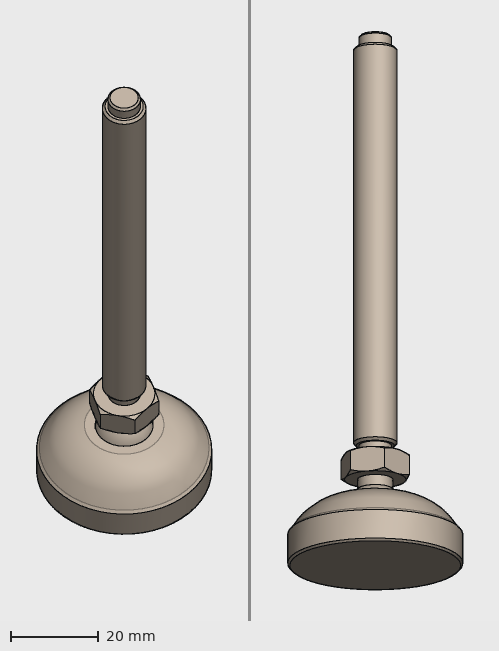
import cadquery as cq
import math

total_height = 126.2

foot_radius = 40.0 / 2
foot_bottom_chamfer = 0.5
rim_top_z = 7.3
rim_chamfer = 0.6
foot_top_z = 15.6
foot_top_radius = 9.1
dome_mid_radius = 15.4
dome_mid_z = 12.6

ball_radius = 14.0 / 2
socket_radius = 13.3 / 2
shank_radius = 8.1 / 2
shank_start_z = 18.0
ball_center_z = shank_start_z - math.sqrt(ball_radius**2 - shank_radius**2)
seat_z = ball_center_z + math.sqrt(ball_radius**2 - socket_radius**2)

hex_bottom_z = 20.5
hex_height = 5.8
hex_across_flats = 14.0
hex_top_z = hex_bottom_z + hex_height
hex_corner_radius = hex_across_flats / math.sqrt(3)
hex_chamfer_angle = 30.0
hex_turn_angle = 30.0

neck_radius = 7.5 / 2
rod_radius = 10.0 / 2
rod_chamfer = 0.6
rod_bottom_z = 28.5
rod_top_z = 123.3
tip_chamfer = 0.5


def cylinder(radius, bottom_z, top_z):
    return cq.Workplane("XY").workplane(offset=bottom_z).circle(radius).extrude(top_z - bottom_z)


def make_foot():
    """Domed foot, with a round socket that narrows onto the ball."""
    dome_bottom = (foot_radius - rim_chamfer, rim_top_z + rim_chamfer)
    profile = (
        cq.Workplane("XZ")
        .lineTo(foot_radius - foot_bottom_chamfer, 0)
        .lineTo(foot_radius, foot_bottom_chamfer)
        .lineTo(foot_radius, rim_top_z)
        .lineTo(*dome_bottom)
        .threePointArc((dome_mid_radius, dome_mid_z), (foot_top_radius, foot_top_z))
        .lineTo(0, foot_top_z)
        .close()
    )
    foot = profile.revolve(360, (0, 0, 0), (0, 1, 0))
    return foot.cut(cylinder(socket_radius, seat_z, foot_top_z))


def make_ball():
    return cq.Workplane("XY").sphere(ball_radius).translate((0, 0, ball_center_z))


def make_hexagon():
    """Hexagon with flats facing +X and -X, and its corners turned off at both ends."""
    flat_radius = hex_across_flats / 2
    bevel_height = (hex_corner_radius - flat_radius) * math.tan(math.radians(hex_chamfer_angle))
    hexagon = (
        cq.Workplane("XY")
        .workplane(offset=hex_bottom_z)
        .polygon(6, 2 * hex_corner_radius)
        .extrude(hex_height)
        .rotate((0, 0, 0), (0, 0, 1), hex_turn_angle)
    )
    turned_blank = (
        cq.Workplane("XZ")
        .moveTo(0, hex_bottom_z)
        .lineTo(flat_radius, hex_bottom_z)
        .lineTo(hex_corner_radius, hex_bottom_z + bevel_height)
        .lineTo(hex_corner_radius, hex_top_z - bevel_height)
        .lineTo(flat_radius, hex_top_z)
        .lineTo(0, hex_top_z)
        .close()
        .revolve(360, (0, 0, 0), (0, 1, 0))
    )
    return hexagon.intersect(turned_blank)


def make_stem():
    """Shank, hexagon, neck, rod at the full thread diameter and reduced tip."""
    shank = cylinder(shank_radius, ball_center_z, hex_bottom_z)
    neck = cylinder(neck_radius, hex_top_z, rod_bottom_z)
    rod = cylinder(rod_radius, rod_bottom_z, rod_top_z).edges().chamfer(rod_chamfer)
    tip = cylinder(neck_radius, rod_top_z, total_height).faces(">Z").edges().chamfer(tip_chamfer)
    return shank.union(make_hexagon()).union(neck).union(rod).union(tip)


result = make_foot().union(make_ball()).union(make_stem())